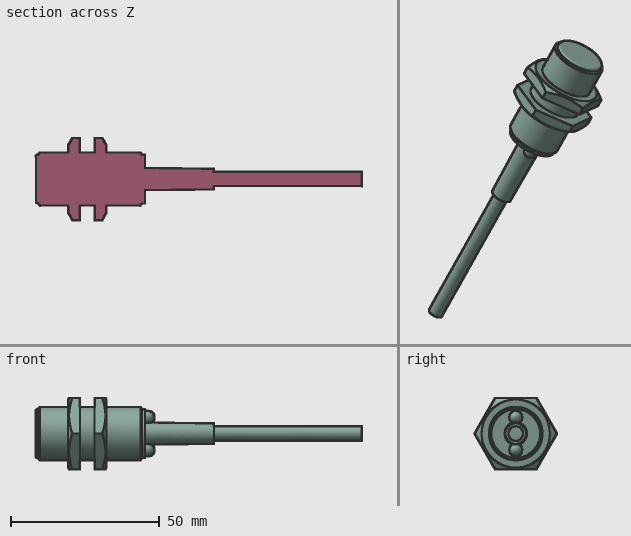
import cadquery as cq
import math

total_length = 109.6
housing_start = 0.9
housing_end = 35.7
end_cap_end = 36.8
relief_taper_start = 41.1
relief_end = 59.9

housing_diameter = 18.0
chamfer_length = 0.5
chamfer_face_diameter = 16.5
cap_diameter = 16.4
front_cap_fillet = 0.71
relief_diameter = 7.5
relief_tip_diameter = 7.0
cable_diameter = 4.9

nut_across_flats = 24.0
nut_across_corners = nut_across_flats / math.cos(math.pi / 6)
nut_thickness = 4.0
nut_face_diameter = 22.9
nut_bevel_angle = math.radians(30)
front_nut_start = 11.0
rear_nut_start = 19.8

lamp_diameter = 4.4
lamp_offset = 5.5
lamp_cylinder_length = 1.0


def rod(diameter, start, end):
    """Cylinder on the X axis between two stations."""
    return cq.Workplane("YZ", origin=(start, 0, 0)).circle(diameter / 2).extrude(end - start)


def make_housing():
    """Chamfered barrel closed by a rounded front cap and a plain rear cap."""
    barrel = (
        cq.Workplane("XY")
        .moveTo(housing_start, 0)
        .lineTo(housing_start, chamfer_face_diameter / 2)
        .lineTo(housing_start + chamfer_length, housing_diameter / 2)
        .lineTo(housing_end - chamfer_length, housing_diameter / 2)
        .lineTo(housing_end, chamfer_face_diameter / 2)
        .lineTo(housing_end, 0)
        .close()
        .revolve(360, (0, 0, 0), (1, 0, 0))
    )
    caps = rod(cap_diameter, 0, end_cap_end).faces("<X").edges().fillet(front_cap_fillet)
    return barrel.union(caps)


def make_nut(start, bevel_side):
    """Hex nut with flats facing +Z and -Z; its corners are bevelled on one side (-1: -X, 1: +X)."""
    hexagon = (
        cq.Workplane("YZ", origin=(start, 0, 0))
        .polygon(6, nut_across_corners)
        .extrude(nut_thickness)
    )
    face_radius = nut_face_diameter / 2
    corner_radius = nut_across_corners / 2
    bevel_depth = (corner_radius - face_radius) * math.tan(nut_bevel_angle)
    if bevel_side < 0:
        bevelled_x = start
        plain_x = start + nut_thickness
    else:
        bevelled_x = start + nut_thickness
        plain_x = start
    envelope = (
        cq.Workplane("XY")
        .moveTo(plain_x, 0)
        .lineTo(plain_x, corner_radius)
        .lineTo(bevelled_x - bevel_side * bevel_depth, corner_radius)
        .lineTo(bevelled_x, face_radius)
        .lineTo(bevelled_x, 0)
        .close()
        .revolve(360, (0, 0, 0), (1, 0, 0))
    )
    return hexagon.intersect(envelope)


def make_strain_relief():
    """Sleeve around the cable: a straight collar followed by a slight taper."""
    return (
        cq.Workplane("XY")
        .moveTo(end_cap_end, 0)
        .lineTo(end_cap_end, relief_diameter / 2)
        .lineTo(relief_taper_start, relief_diameter / 2)
        .lineTo(relief_end, relief_tip_diameter / 2)
        .lineTo(relief_end, 0)
        .close()
        .revolve(360, (0, 0, 0), (1, 0, 0))
    )


def make_lamp(z):
    """Short round lamp with a hemispherical end, standing on the rear cap."""
    dome_start = end_cap_end + lamp_cylinder_length
    stem = rod(lamp_diameter, end_cap_end, dome_start).translate((0, 0, z))
    dome = cq.Workplane("XY").sphere(lamp_diameter / 2).translate((dome_start, 0, z))
    return stem.union(dome)


result = make_housing()
result = result.union(make_nut(front_nut_start, -1))
result = result.union(make_nut(rear_nut_start, 1))
result = result.union(make_strain_relief())
result = result.union(rod(cable_diameter, relief_end, total_length))
for lamp_z in (-lamp_offset, lamp_offset):
    result = result.union(make_lamp(lamp_z))